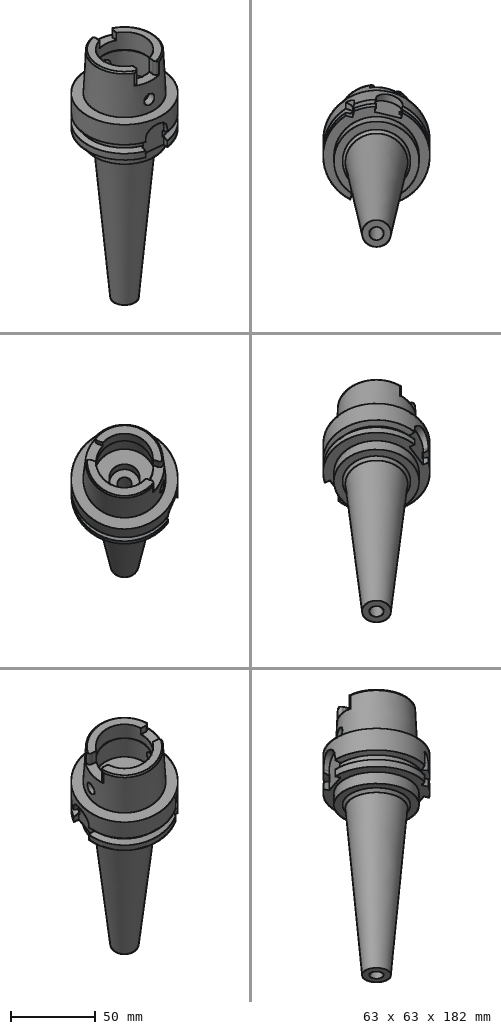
import cadquery as cq


total_length = 182.0
taper_height = 32.0
nose_end = taper_height - total_length
flange_height = 26.0
collar_bottom = -33.9
nose_start = -36.0

flange_radius = 31.5
taper_base_radius = 24.4
taper_top_radius = 23.0
rim_chamfer_width = 1.0
rim_chamfer_height = 1.1
collar_radius = 25.1
collar_foot_radius = 20.0
nose_start_radius = 18.4
nose_end_radius = 8.5

groove_radius = 27.8
groove_top = -14.7
groove_floor_top = -16.0
groove_floor_bottom = -19.8
groove_bottom = -21.3

mouth_radius = 17.0
mouth_depth = 13.0
cavity_radius = 18.5
cavity_taper_height = 1.8
cavity_floor = 0.0
socket_radius = 9.1
socket_depth = 9.1
through_radius = 4.2

slot_width = 12.5
slot_corner_radius = 2.2
slot_depth_left = 5.6
slot_depth_right = 10.2

cross_hole_radius = 3.8
cross_hole_z = taper_height - 23.0

keyway_width = 16.2
keyway_floor = 27.0
keyway_top = -4.5

notch_floor = 20.4
notch_wall = 19.8
notch_radius = 4.5
notch_top = -5.3


def make_body():
    """Revolve the outside of the holder, including the gripper groove."""
    rim_radius = taper_top_radius - rim_chamfer_width
    outline = [
        (0, taper_height),
        (rim_radius, taper_height),
        (taper_top_radius, taper_height - rim_chamfer_height),
        (taper_base_radius, 0),
        (flange_radius, 0),
        (flange_radius, groove_top),
        (groove_radius, groove_floor_top),
        (groove_radius, groove_floor_bottom),
        (flange_radius, groove_bottom),
        (flange_radius, -flange_height),
        (collar_radius, -flange_height),
        (collar_radius, collar_bottom),
        (collar_foot_radius, collar_bottom),
        (nose_start_radius, nose_start),
        (nose_end_radius, nose_end),
        (0, nose_end),
    ]
    return cq.Workplane("XZ").polyline(outline).close().revolve(360, (0, 0), (0, 1))


def make_bore():
    """Revolve the mouth, undercut cavity, socket and through hole as one void."""
    mouth_end = taper_height - mouth_depth
    socket_floor = cavity_floor - socket_depth
    outline = [
        (0, taper_height),
        (mouth_radius, taper_height),
        (mouth_radius, mouth_end),
        (cavity_radius, mouth_end - cavity_taper_height),
        (cavity_radius, cavity_floor),
        (socket_radius, cavity_floor),
        (socket_radius, socket_floor),
        (through_radius, socket_floor),
        (through_radius, nose_end),
        (0, nose_end),
    ]
    return cq.Workplane("XZ").polyline(outline).close().revolve(360, (0, 0), (0, 1))


def make_drive_slot(side, depth):
    """Slot in the rim whose mouth flares with rounded corners."""
    half = slot_width / 2
    arc_y = half + slot_corner_radius
    center_radius = taper_top_radius - slot_corner_radius
    arc_x = (center_radius**2 - arc_y**2) ** 0.5
    stretch = taper_top_radius / center_radius
    touch_x = arc_x * stretch
    touch_y = arc_y * stretch
    dir_x = arc_x / center_radius
    dir_y = arc_y / center_radius - 1
    dir_length = (dir_x**2 + dir_y**2) ** 0.5
    mid_x = arc_x + slot_corner_radius * dir_x / dir_length
    mid_y = arc_y + slot_corner_radius * dir_y / dir_length
    return (
        cq.Workplane("XY")
        .workplane(offset=taper_height - depth)
        .moveTo(0, -half)
        .lineTo(side * arc_x, -half)
        .threePointArc((side * mid_x, -mid_y), (side * touch_x, -touch_y))
        .lineTo(side * flange_radius, -touch_y)
        .lineTo(side * flange_radius, touch_y)
        .lineTo(side * touch_x, touch_y)
        .threePointArc((side * mid_x, mid_y), (side * arc_x, half))
        .lineTo(0, half)
        .close()
        .extrude(depth)
    )


def make_round_top_cutter(center_y, width, top, floor, side):
    """Arch-topped bar running outward along X from the given floor."""
    radius = width / 2
    spring_line = top - radius
    return (
        cq.Workplane("YZ", origin=(side * floor, 0, 0))
        .moveTo(center_y - radius, -flange_height)
        .lineTo(center_y - radius, spring_line)
        .threePointArc((center_y, top), (center_y + radius, spring_line))
        .lineTo(center_y + radius, -flange_height)
        .close()
        .extrude(side * flange_radius)
    )


cross_hole = (
    cq.Workplane("YZ")
    .center(0, cross_hole_z)
    .circle(cross_hole_radius)
    .extrude(flange_radius, both=True)
)

result = make_body().cut(make_bore()).cut(cross_hole)
result = result.cut(make_drive_slot(-1, slot_depth_left))
result = result.cut(make_drive_slot(1, slot_depth_right))
for keyway_side in (-1, 1):
    keyway = make_round_top_cutter(0, keyway_width, keyway_top, keyway_floor, keyway_side)
    result = result.cut(keyway)
notch_center = notch_wall + notch_radius
notch = make_round_top_cutter(notch_center, 2 * notch_radius, notch_top, notch_floor, -1)
result = result.cut(notch)